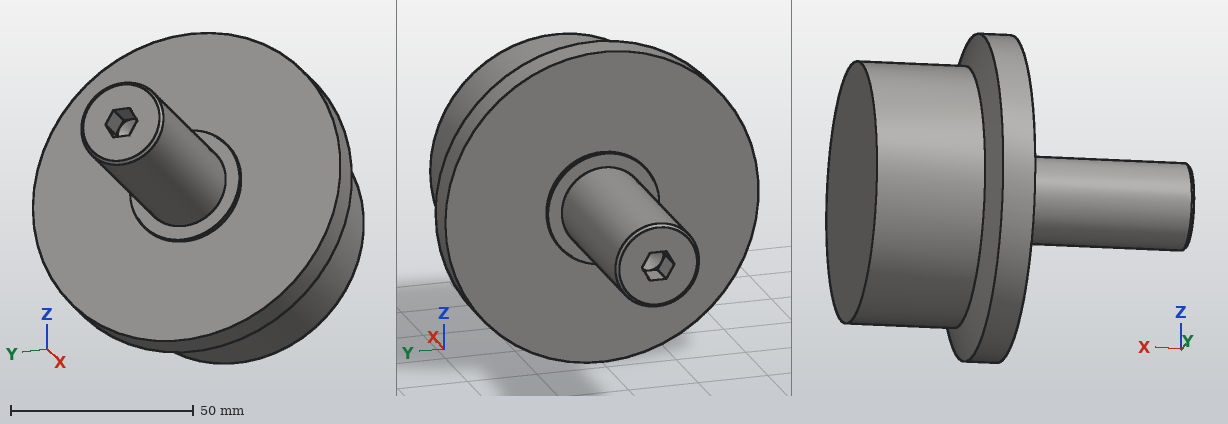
import cadquery as cq
import math

total_length = 93.5
shaft_diameter = 24.0
shaft_chamfer = 0.8
collar_diameter = 32.0
collar_width = 1.5
flange_diameter = 90.0
flange_width = 9.0
tread_diameter = 72.0
wheel_width = 42.45
cone_angle = 20.0

socket_across_flats = 8.0
socket_depth = 8.0
drill_point_angle = 120.0

flange_start = total_length - wheel_width
collar_start = flange_start - collar_width
flange_end = flange_start + flange_width
cone_width = (flange_diameter - tread_diameter) / 2 * math.tan(math.radians(cone_angle))
tread_start = flange_end + cone_width


def make_body():
    """Revolve the half profile of shaft, collar, flange and tread."""
    shaft_radius = shaft_diameter / 2
    collar_radius = collar_diameter / 2
    flange_radius = flange_diameter / 2
    tread_radius = tread_diameter / 2
    profile = [
        (0, 0),
        (0, shaft_radius - shaft_chamfer),
        (shaft_chamfer, shaft_radius),
        (collar_start, shaft_radius),
        (collar_start, collar_radius),
        (flange_start, collar_radius),
        (flange_start, flange_radius),
        (flange_end, flange_radius),
        (tread_start, tread_radius),
        (total_length, tread_radius),
        (total_length, 0),
    ]
    return cq.Workplane("XY").polyline(profile).close().revolve(360, (0, 0, 0), (1, 0, 0))


def make_socket():
    """Hexagonal recess with two corners on the Y axis and a conical bottom."""
    across_corners = socket_across_flats / math.cos(math.radians(30))
    hexagon = cq.Workplane("YZ").polygon(6, across_corners).extrude(socket_depth)
    point_radius = socket_across_flats / 2
    point_depth = point_radius / math.tan(math.radians(drill_point_angle / 2))
    point = (
        cq.Workplane("XY")
        .polyline([
            (socket_depth, 0),
            (socket_depth, point_radius),
            (socket_depth + point_depth, 0),
        ])
        .close()
        .revolve(360, (0, 0, 0), (1, 0, 0))
    )
    return hexagon.union(point)


result = make_body().cut(make_socket())